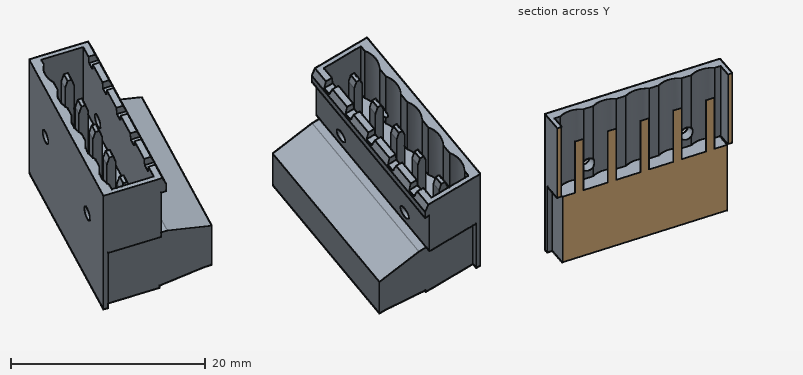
import cadquery as cq

WIDTH = 20.37
DEPTH = 12.3
HEIGHT = 17.6

PIN_COUNT = 5
PITCH = 3.8
PIN_SIZE = 1.02
PIN_CENTRE_Y = 3.25
PIN_TIP_Z = 16.15
PIN_TAPER_INSET = 0.29
PIN_TAPER_LENGTH = 1.0

BLOCK_WIDTH = 19.19
BLOCK_HEIGHT = 8.54
BLOCK_TOP_SLOPE_Y = 7.33
BLOCK_TOP_SLOPE_DROP = 1.35
BLOCK_FOOT_Y = 6.5
BLOCK_FOOT_HEIGHT = 0.35
BLOCK_UNDERSIDE_FLAT = 0.77
BLOCK_UNDERSIDE_RISE = 1.12

PLATE_THICKNESS = 0.53
SHROUD_DEPTH = 6.42
LIP_DEPTH = 6.97
LIP_TOP_DEPTH = 6.55
LIP_HEIGHT = 2.22
LIP_SLOPE_HEIGHT = 1.05

SIDE_WALL = 0.53
FRONT_WALL = 1.15
CAVITY_BACK_Y = 5.8
SCALLOP_WIDTH = 2.7
SCALLOP_DEPTH = 0.39

NOTCH_TOP_WIDTH = 1.18
NOTCH_BOTTOM_WIDTH = 0.88
NOTCH_DEPTH = 0.81

HOLE_DIAMETER = 1.53
HOLE_Z = 10.23
HOLE_SPACING = 3 * PITCH

pin_xs = [(i - (PIN_COUNT - 1) / 2) * PITCH for i in range(PIN_COUNT)]


def extrude_across(profile, width):
    """Extrude a closed (Y, Z) profile by `width`, centred on X = 0."""
    return cq.Workplane("YZ").polyline(profile).close().extrude(width / 2, both=True)


def make_block():
    """Rear block with a sloping top and a stepped, sloping underside."""
    return extrude_across(
        [
            (0, 0),
            (BLOCK_FOOT_Y, 0),
            (BLOCK_FOOT_Y, BLOCK_FOOT_HEIGHT),
            (DEPTH - BLOCK_UNDERSIDE_FLAT, BLOCK_UNDERSIDE_RISE),
            (DEPTH, BLOCK_UNDERSIDE_RISE),
            (DEPTH, BLOCK_HEIGHT - BLOCK_TOP_SLOPE_DROP),
            (BLOCK_TOP_SLOPE_Y, BLOCK_HEIGHT),
            (0, BLOCK_HEIGHT),
        ],
        BLOCK_WIDTH,
    )


def make_shell():
    """Full-height front plate joined to the shroud, with a latching lip at the top."""
    return extrude_across(
        [
            (0, 0),
            (PLATE_THICKNESS, 0),
            (PLATE_THICKNESS, BLOCK_HEIGHT),
            (SHROUD_DEPTH, BLOCK_HEIGHT),
            (SHROUD_DEPTH, HEIGHT - LIP_HEIGHT),
            (LIP_DEPTH, HEIGHT - LIP_HEIGHT),
            (LIP_DEPTH, HEIGHT - LIP_SLOPE_HEIGHT),
            (LIP_TOP_DEPTH, HEIGHT),
            (0, HEIGHT),
        ],
        WIDTH,
    )


def make_cavity():
    """Pocket down to the block's top, with a shallow arc in its front wall facing each pin."""
    half_width = WIDTH / 2 - SIDE_WALL
    outline = cq.Workplane("XY").workplane(offset=BLOCK_HEIGHT).moveTo(-half_width, FRONT_WALL)
    for x in pin_xs:
        outline = outline.lineTo(x - SCALLOP_WIDTH / 2, FRONT_WALL)
        outline = outline.threePointArc(
            (x, FRONT_WALL - SCALLOP_DEPTH),
            (x + SCALLOP_WIDTH / 2, FRONT_WALL),
        )
    outline = outline.lineTo(half_width, FRONT_WALL)
    outline = outline.lineTo(half_width, CAVITY_BACK_Y).lineTo(-half_width, CAVITY_BACK_Y)
    return outline.close().extrude(HEIGHT - BLOCK_HEIGHT)


def make_notch(x):
    """Trapezoidal cutter through the back wall of the shroud."""
    top = NOTCH_TOP_WIDTH / 2
    bottom = NOTCH_BOTTOM_WIDTH / 2
    floor_z = HEIGHT - NOTCH_DEPTH
    return (
        cq.Workplane("XZ", origin=(x, LIP_DEPTH, 0))
        .polyline([(-bottom, floor_z), (bottom, floor_z), (top, HEIGHT), (-top, HEIGHT)])
        .close()
        .extrude(LIP_DEPTH - CAVITY_BACK_Y)
    )


def make_pin(x):
    """Square pin standing on the cavity floor, tapered front and back at its tip."""
    front = PIN_CENTRE_Y - PIN_SIZE / 2
    back = PIN_CENTRE_Y + PIN_SIZE / 2
    taper_z = PIN_TIP_Z - PIN_TAPER_LENGTH
    profile = [
        (front, BLOCK_HEIGHT),
        (back, BLOCK_HEIGHT),
        (back, taper_z),
        (back - PIN_TAPER_INSET, PIN_TIP_Z),
        (front + PIN_TAPER_INSET, PIN_TIP_Z),
        (front, taper_z),
    ]
    return extrude_across(profile, PIN_SIZE).translate((x, 0, 0))


def make_holes():
    """Two cylinders along Y that pierce the front and back walls."""
    return (
        cq.Workplane("XZ")
        .pushPoints([(-HOLE_SPACING / 2, HOLE_Z), (HOLE_SPACING / 2, HOLE_Z)])
        .circle(HOLE_DIAMETER / 2)
        .extrude(-SHROUD_DEPTH)
    )


result = make_block().union(make_shell()).cut(make_cavity()).cut(make_holes())
for pin_x in pin_xs:
    result = result.cut(make_notch(pin_x)).union(make_pin(pin_x))